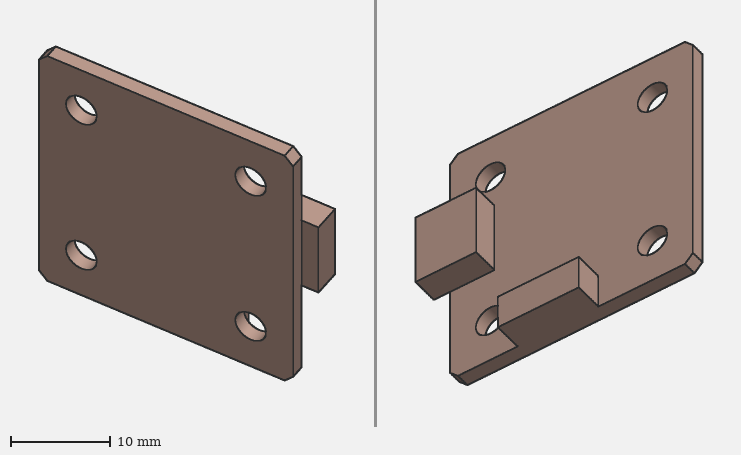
import cadquery as cq

overall_length = 32.0
side_overhang = 2.0
plate_width = overall_length - side_overhang
plate_height = 31.0
plate_thickness = 1.65
corner_chamfer = 1.0

hole_diameter = 3.6
hole_spacing = 20.0

side_block_length = 7.5
side_block_depth = 3.2
side_block_height = 9.0
side_block_bottom = 12.25

overall_depth = 5.1
bottom_block_length = 10.0
bottom_block_depth = overall_depth - plate_thickness
bottom_block_height = 4.25
bottom_block_left = 11.68


def make_plate():
    """Plate with chamfered corners and four through holes."""
    plate = cq.Workplane("XY").box(plate_width, plate_thickness, plate_height, centered=False)
    plate = plate.edges("|Y").chamfer(corner_chamfer)
    return (
        plate.faces("<Y")
        .workplane(centerOption="CenterOfBoundBox")
        .rect(hole_spacing, hole_spacing, forConstruction=True)
        .vertices()
        .hole(hole_diameter)
    )


def make_back_block(left, bottom, length, depth, height):
    """Rectangular block standing on the back face of the plate."""
    block = cq.Workplane("XY").box(length, depth, height, centered=False)
    return block.translate((left, plate_thickness, bottom))


side_block = make_back_block(
    overall_length - side_block_length,
    side_block_bottom,
    side_block_length,
    side_block_depth,
    side_block_height,
)
bottom_block = make_back_block(
    bottom_block_left,
    0,
    bottom_block_length,
    bottom_block_depth,
    bottom_block_height,
)

result = make_plate().union(side_block).union(bottom_block)